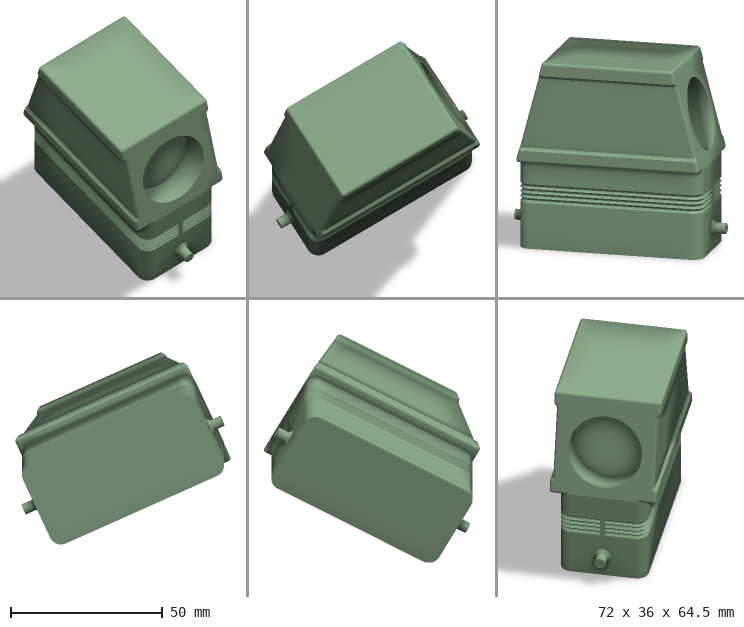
import cadquery as cq
import math

overall_length = 72.0
overall_height = 64.5
hood_width = 36.0

base_length = 62.7
base_width = 29.45
base_corner_radius = 3.95

hood_bottom = 30.0
hood_bottom_length = 62.9
hood_top_length = 44.65
hood_edge_radius = 1.0
panel_depth = 1.0
panel_bottom = 34.2
panel_top = 60.1

groove_count = 4
groove_pitch = 1.6
groove_depth = groove_pitch / 2
groove_band_bottom = 15.7
groove_gap_width = 1.65

pin_diameter = 3.6
pin_height = 7.5
pin_collar = 1.0

entry_diameter = 24.8
entry_depth = 10.1
entry_height = 46.1


def base_column(height):
    """Prism of the given height over the rounded base outline."""
    return (
        cq.Workplane("XY")
        .rect(base_length, base_width)
        .extrude(height)
        .edges("|Z")
        .fillet(base_corner_radius)
    )


def groove_cutter(bottom):
    """Ring that cuts one V groove, with a gap in the middle of each base end."""
    waist_length = base_length - 2 * groove_depth
    waist_width = base_width - 2 * groove_depth
    waist_radius = base_corner_radius - groove_depth
    middle = bottom + groove_pitch / 2
    flank_angle = math.degrees(math.atan2(groove_depth, groove_pitch / 2))
    waist = cq.Sketch().rect(waist_length, waist_width).vertices().fillet(waist_radius)
    core = cq.Workplane("XY", origin=(0, 0, middle)).placeSketch(waist)
    upper_core = core.extrude(groove_pitch / 2, taper=-flank_angle)
    lower_core = upper_core.mirror("XY", (0, 0, middle))
    block = cq.Workplane("XY", origin=(0, 0, bottom)).rect(overall_length, hood_width).extrude(groove_pitch)
    gap = cq.Workplane("XY", origin=(0, 0, bottom)).rect(overall_length, groove_gap_width).extrude(groove_pitch)
    return block.cut(upper_core).cut(lower_core).cut(gap)


def make_hood():
    half_bottom = hood_bottom_length / 2
    half_top = hood_top_length / 2
    hood = (
        cq.Workplane("XZ")
        .moveTo(-half_bottom, hood_bottom)
        .lineTo(half_bottom, hood_bottom)
        .lineTo(half_top, overall_height)
        .lineTo(-half_top, overall_height)
        .close()
        .extrude(hood_width / 2, both=True)
    )
    panel = (
        cq.Workplane("YZ")
        .moveTo(hood_width / 2, panel_bottom)
        .lineTo(hood_width / 2 - panel_depth, panel_bottom + panel_depth)
        .lineTo(hood_width / 2 - panel_depth, panel_top - panel_depth)
        .lineTo(hood_width / 2, panel_top)
        .close()
        .extrude(overall_length / 2, both=True)
    )
    hood = hood.cut(panel).cut(panel.mirror("XZ"))
    rim_edges = hood.faces("<Z or >Z or <X or >X").edges()
    base_continuation = hood.intersect(base_column(panel_bottom))
    return rim_edges.fillet(hood_edge_radius).union(base_continuation)


def make_pin(side):
    start = base_length / 2
    tip = overall_length / 2
    radius = pin_diameter / 2
    profile = (
        cq.Workplane("XY", origin=(0, 0, pin_height))
        .moveTo(0, 0)
        .lineTo(side * tip, 0)
        .lineTo(side * tip, radius)
        .lineTo(side * (start + pin_collar), radius)
        .lineTo(side * start, radius + pin_collar)
        .lineTo(0, radius + pin_collar)
        .close()
    )
    return profile.revolve(360, (0, 0, 0), (1, 0, 0))


def cable_entry():
    run = (hood_bottom_length - hood_top_length) / 2
    rise = overall_height - hood_bottom
    centre_x = hood_bottom_length / 2 - run * (entry_height - hood_bottom) / rise
    mouth = cq.Plane(origin=(centre_x, 0, entry_height), xDir=(0, 1, 0), normal=(rise, 0, run))
    return cq.Workplane(mouth).circle(entry_diameter / 2).extrude(-entry_depth)


base = base_column(hood_bottom)
for index in range(groove_count):
    base = base.cut(groove_cutter(groove_band_bottom + index * groove_pitch))

result = base.union(make_hood())
for side in (-1, 1):
    result = result.union(make_pin(side))
result = result.cut(cable_entry())